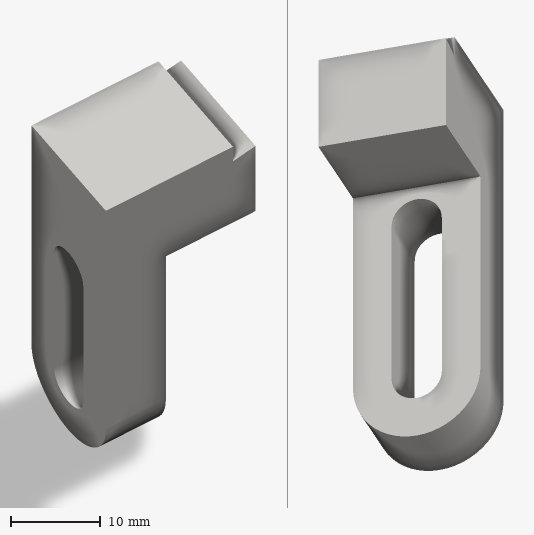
import cadquery as cq

height = 45
width = 15.0
head_depth = 20.0

leg_thickness = 8.0
head_height = 13.0
notch_depth = 3.0
notch_inner_drop = 2.5
notch_outer_drop = 1.8

slot_width = 5.9
slot_length = 25.6
slot_bottom = 4.85

end_radius = width / 2


def side_body():
    """L-shaped side profile with a sloped notch in the head, extruded across the width."""
    profile = [
        (0, 0),
        (leg_thickness, 0),
        (leg_thickness, height - head_height),
        (head_depth, height - head_height),
        (head_depth, height - notch_outer_drop),
        (head_depth - notch_depth, height - notch_inner_drop),
        (head_depth - notch_depth, height),
        (0, height),
    ]
    return cq.Workplane("YZ").polyline(profile).close().extrude(width / 2, both=True)


def front_outline():
    """Rectangle with a full round at the bottom, extruded through the head depth."""
    return (
        cq.Workplane("XZ")
        .moveTo(-end_radius, height)
        .lineTo(-end_radius, end_radius)
        .threePointArc((0, 0), (end_radius, end_radius))
        .lineTo(end_radius, height)
        .close()
        .extrude(-head_depth)
    )


def slot():
    """Vertical round-ended slot, cut through the leg along Y."""
    return (
        cq.Workplane("XZ")
        .center(0, slot_bottom + slot_length / 2)
        .slot2D(slot_length, slot_width, 90)
        .extrude(-leg_thickness)
    )


result = side_body().intersect(front_outline()).cut(slot())